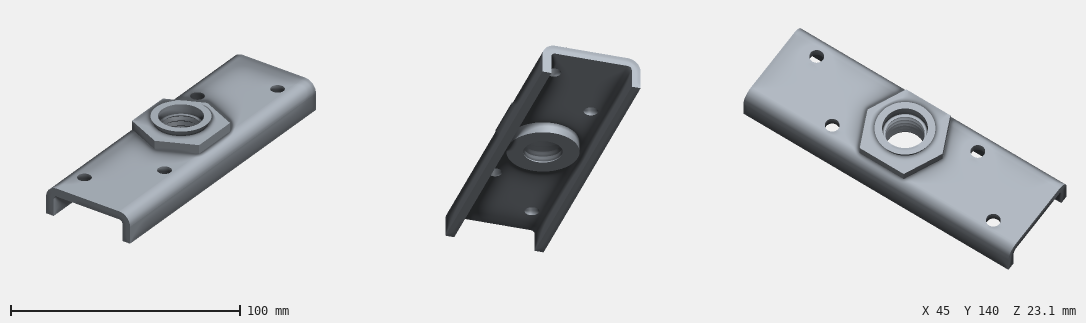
import cadquery as cq

channel_length = 140.0
channel_width = 45.0
channel_height = 14.4
sheet = 4.0
outer_bend = 5.9
inner_bend = outer_bend - sheet

mount_diameter = 6.5
mount_x = 12.5
mount_inner_y = 30.0
mount_outer_y = 55.2

hex_width = 36.0
hex_length = 39.6
hex_side = 23.2
hex_bottom = 15.8
hex_thickness = 4.3
hex_top = hex_bottom + hex_thickness

flange_diameter = 31.9
flange_bottom = 5.2
shoulder_diameter = 27.7
neck_diameter = 24.2
rim_diameter = 26.6
bushing_top = 23.1
web_bottom = channel_height - sheet

counterbore_diameter = 20.0
counterbore_bottom = 18.3
bore_diameter = 17.2
thread_pitch = 2.5
thread_root_diameter = 20.5
thread_count = 5
thread_half_height = thread_pitch / 2
thread_ledge = 0.1
first_thread_z = counterbore_bottom - thread_ledge - thread_half_height


def make_channel():
    """Bent sheet with a bushing hole and four mounting holes."""
    outer = (
        cq.Workplane("XY")
        .box(channel_width, channel_length, channel_height, centered=(True, True, False))
        .edges("|Y and >Z")
        .fillet(outer_bend)
    )
    inner = (
        cq.Workplane("XY")
        .box(channel_width - 2 * sheet, channel_length, web_bottom, centered=(True, True, False))
        .edges("|Y and >Z")
        .fillet(inner_bend)
    )
    mount_points = [
        (mount_x, mount_outer_y),
        (-mount_x, mount_inner_y),
        (mount_x, -mount_inner_y),
        (-mount_x, -mount_outer_y),
    ]
    mount_holes = (
        cq.Workplane("XY").pushPoints(mount_points).circle(mount_diameter / 2).extrude(channel_height)
    )
    bushing_hole = cq.Workplane("XY").circle(shoulder_diameter / 2).extrude(channel_height)
    return outer.cut(inner).cut(mount_holes).cut(bushing_hole)


def make_hex_plate():
    """Hexagonal plate with a hole for the bushing neck."""
    half_width = hex_width / 2
    half_length = hex_length / 2
    half_side = hex_side / 2
    corners = [
        (0, half_length),
        (half_width, half_side),
        (half_width, -half_side),
        (0, -half_length),
        (-half_width, -half_side),
        (-half_width, half_side),
    ]
    plate = cq.Workplane("XY", origin=(0, 0, hex_bottom)).polyline(corners).close().extrude(hex_thickness)
    neck_hole = (
        cq.Workplane("XY", origin=(0, 0, hex_bottom)).circle(neck_diameter / 2).extrude(hex_thickness)
    )
    return plate.cut(neck_hole)


def make_thread_groove(middle_z):
    """V-shaped ring that cuts one thread groove into the bore."""
    bore_radius = bore_diameter / 2
    profile = [
        (0, middle_z - thread_half_height),
        (bore_radius, middle_z - thread_half_height),
        (thread_root_diameter / 2, middle_z),
        (bore_radius, middle_z + thread_half_height),
        (0, middle_z + thread_half_height),
    ]
    return cq.Workplane("XZ").polyline(profile).close().revolve(360, (0, 0), (0, 1))


def make_bushing():
    """Stepped bushing with a counterbored, threaded bore."""
    bore_radius = bore_diameter / 2
    counterbore_radius = counterbore_diameter / 2
    flange_radius = flange_diameter / 2
    profile = [
        (bore_radius, flange_bottom),
        (flange_radius, flange_bottom),
        (flange_radius, web_bottom),
        (shoulder_diameter / 2, web_bottom),
        (shoulder_diameter / 2, hex_bottom),
        (neck_diameter / 2, hex_bottom),
        (neck_diameter / 2, hex_top),
        (rim_diameter / 2, bushing_top),
        (counterbore_radius, bushing_top),
        (counterbore_radius, counterbore_bottom),
        (bore_radius, counterbore_bottom),
    ]
    bushing = cq.Workplane("XZ").polyline(profile).close().revolve(360, (0, 0), (0, 1))
    for index in range(thread_count):
        bushing = bushing.cut(make_thread_groove(first_thread_z - index * thread_pitch))
    return bushing


channel = make_channel()
hex_plate = make_hex_plate()
bushing = make_bushing()

result = cq.Compound.makeCompound([channel.val(), hex_plate.val(), bushing.val()])